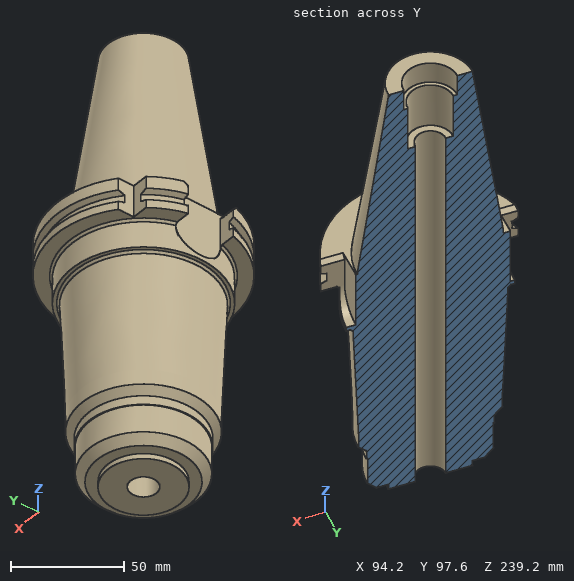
import cadquery as cq

total_height = 239.2

taper_ratio = 7 / 24
gauge_height = 137.3
gauge_radius = 35.0
taper_end_radius = gauge_radius - (total_height - gauge_height) * taper_ratio / 2

flange_radius = 48.8
flange_top = 135.8
flange_bottom = 118.4
groove_center = 126.0
groove_radius = 46.0
groove_mouth_width = 6.5
groove_floor_width = 3.8

collar_radius = 40.2
collar_bottom = 103.0
collar_cone = 1.2

body_cone = 1.2
body_top_radius = 37.0
body_bottom_radius = 34.5
body_taper_end = 38.7
body_bottom = 30.5

nose_shoulder = 27.0
nose_ring_radius = 30.5
nose_ring_bottom = 22.2
nose_radius = 30.1
nose_chamfer_top = 7.2
nose_chamfer_width = 4.3
nose_bottom = 2.9
pilot_radius = 20.0

through_radius = 7.2
bore_radius = 10.8
bore_depth = 35.9
counterbore_radius = 12.7
counterbore_depth = 11.5

slot_width = 25.5
slot_end = 105.5
slot_chamfer = 2.2
left_floor = 38.0
right_floor = 35.6

notch_offset = 30.0


def revolved_body():
    mouth = groove_mouth_width / 2
    floor = groove_floor_width / 2
    profile = [
        (0, 0),
        (pilot_radius, 0),
        (pilot_radius, nose_bottom),
        (nose_radius - nose_chamfer_width, nose_bottom),
        (nose_radius, nose_chamfer_top),
        (nose_radius, nose_ring_bottom),
        (nose_ring_radius, nose_ring_bottom),
        (nose_ring_radius, nose_shoulder),
        (body_bottom_radius, body_bottom),
        (body_bottom_radius, body_taper_end),
        (body_top_radius, collar_bottom - body_cone),
        (body_top_radius + body_cone, collar_bottom),
        (collar_radius, collar_bottom),
        (collar_radius, flange_bottom - collar_cone),
        (collar_radius + collar_cone, flange_bottom),
        (flange_radius, flange_bottom),
        (flange_radius, groove_center - mouth),
        (groove_radius, groove_center - floor),
        (groove_radius, groove_center + floor),
        (flange_radius, groove_center + mouth),
        (flange_radius, flange_top),
        (gauge_radius, flange_top),
        (gauge_radius, gauge_height),
        (taper_end_radius, total_height),
        (0, total_height),
    ]
    return cq.Workplane("XZ").polyline(profile).close().revolve(360, (0, 0), (0, 1))


def axial_bore():
    top = cq.Workplane("XY").workplane(offset=total_height)
    through = top.circle(through_radius).extrude(-total_height)
    bore = top.circle(bore_radius).extrude(-bore_depth)
    counterbore = top.circle(counterbore_radius).extrude(-counterbore_depth)
    return through.union(bore).union(counterbore)


def drive_slot(side, floor):
    """Round-ended slot with a chamfered mouth; side is +1 for +X and -1 for -X."""
    half = slot_width / 2
    arc_center = slot_end + half
    return (
        cq.Workplane("YZ", origin=(side * floor, 0, 0))
        .moveTo(-half, arc_center)
        .threePointArc((0, slot_end), (half, arc_center))
        .lineTo(half, flange_top - slot_chamfer)
        .lineTo(half + slot_chamfer, flange_top)
        .lineTo(-half - slot_chamfer, flange_top)
        .lineTo(-half, flange_top - slot_chamfer)
        .close()
        .extrude(side * flange_radius)
    )


def rim_notch():
    size = flange_radius - notch_offset
    return cq.Workplane("XY").box(size, size, flange_top - flange_bottom, centered=False).translate(
        (-flange_radius, notch_offset, flange_bottom)
    )


result = (
    revolved_body()
    .cut(axial_bore())
    .cut(drive_slot(-1, left_floor))
    .cut(drive_slot(1, right_floor))
    .cut(rim_notch())
)